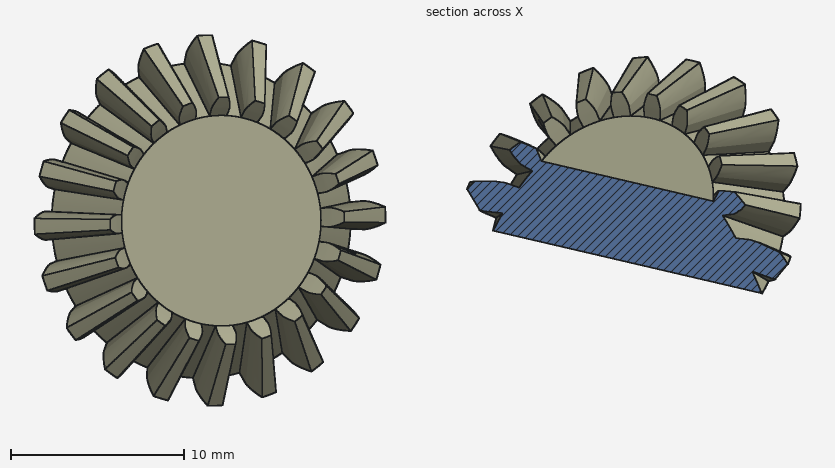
import math

import cadquery as cq

MODULE = 1.0
TOOTH_COUNT = 20
PITCH_CONE_ANGLE = math.radians(45)
PRESSURE_ANGLE = math.radians(14.5)
ADDENDUM = MODULE
DEDENDUM = 1.25 * MODULE
FACE_WIDTH_RATIO = 1 / 3
AXIS_TILT_DEG = 45

PITCH_RADIUS = MODULE * TOOTH_COUNT / 2
PITCH_DISTANCE = PITCH_RADIUS / math.tan(PITCH_CONE_ANGLE)
SMALL_END_SCALE = 1 - FACE_WIDTH_RATIO

SPUR_PITCH_RADIUS = PITCH_RADIUS / math.cos(PITCH_CONE_ANGLE)
SPUR_BASE_RADIUS = SPUR_PITCH_RADIUS * math.cos(PRESSURE_ANGLE)
SPUR_TIP_RADIUS = SPUR_PITCH_RADIUS + ADDENDUM
SPUR_ROOT_RADIUS = SPUR_PITCH_RADIUS - DEDENDUM

FLANK_START_CLEARANCE = 0.1
SPUR_FLANK_START_RADIUS = SPUR_BASE_RADIUS + FLANK_START_CLEARANCE
HALF_TOOTH_AT_PITCH = math.pi * MODULE / 4

WEDGE_MARGIN = 0.2
WEDGE_FOOT_RATIO = 0.5
FLANK_POINT_COUNT = 8


def back_cone_point(spur_radius):
    """Radius from the axis and distance from the apex of a point on the back cone."""
    radius = spur_radius * math.cos(PITCH_CONE_ANGLE)
    distance = PITCH_DISTANCE - (radius - PITCH_RADIUS) * math.tan(PITCH_CONE_ANGLE)
    return radius, distance


ROOT_RADIUS, BACK_DISTANCE = back_cone_point(SPUR_ROOT_RADIUS)
TIP_RADIUS, TIP_DISTANCE = back_cone_point(SPUR_TIP_RADIUS)
FRONT_DISTANCE = BACK_DISTANCE * SMALL_END_SCALE


def involute(angle):
    """Involute function: roll angle less pressure angle."""
    return math.tan(angle) - angle


def half_tooth_angle(spur_radius):
    """Polar angle about the gear axis from the tooth's centre line to its flank."""
    local_pressure_angle = math.acos(SPUR_BASE_RADIUS / spur_radius)
    spur_angle = (
        HALF_TOOTH_AT_PITCH / SPUR_PITCH_RADIUS
        + involute(PRESSURE_ANGLE)
        - involute(local_pressure_angle)
    )
    return spur_angle / math.cos(PITCH_CONE_ANGLE)


def revolve_profile(points):
    """Turn a half profile of (radius, distance from apex) points about the gear axis."""
    outline = [(radius, BACK_DISTANCE - distance) for radius, distance in points]
    return cq.Workplane("XZ").polyline(outline).close().revolve(360, (0, 0), (0, 1))


def make_core():
    """Root cone between the flat back and front faces."""
    return revolve_profile([
        (0, BACK_DISTANCE),
        (ROOT_RADIUS, BACK_DISTANCE),
        (ROOT_RADIUS * SMALL_END_SCALE, FRONT_DISTANCE),
        (0, FRONT_DISTANCE),
    ])


def make_blank():
    """Core plus the full tooth band out to the tip cone."""
    return revolve_profile([
        (0, BACK_DISTANCE),
        (ROOT_RADIUS, BACK_DISTANCE),
        (TIP_RADIUS, TIP_DISTANCE),
        (TIP_RADIUS * SMALL_END_SCALE, TIP_DISTANCE * SMALL_END_SCALE),
        (ROOT_RADIUS * SMALL_END_SCALE, FRONT_DISTANCE),
        (0, FRONT_DISTANCE),
    ])


def tooth_section(distance):
    """Tooth outline in the plane square to the axis at this distance from the apex."""
    outer_radius = SPUR_TIP_RADIUS + WEDGE_MARGIN
    step = (outer_radius - SPUR_FLANK_START_RADIUS) / (FLANK_POINT_COUNT - 1)

    def flank_point(spur_radius):
        cone_radius, cone_distance = back_cone_point(spur_radius)
        radius = cone_radius * distance / cone_distance
        angle = half_tooth_angle(spur_radius)
        return cq.Vector(
            radius * math.cos(angle),
            radius * math.sin(angle),
            BACK_DISTANCE - distance,
        )

    def mirrored(point):
        return cq.Vector(point.x, -point.y, point.z)

    spur_radii = [SPUR_FLANK_START_RADIUS + i * step for i in range(FLANK_POINT_COUNT)]
    flank = [flank_point(radius) for radius in spur_radii]
    other_flank = [mirrored(point) for point in reversed(flank)]

    foot = cq.Vector(flank[0].x * WEDGE_FOOT_RATIO, flank[0].y * WEDGE_FOOT_RATIO, flank[0].z)
    other_foot = mirrored(foot)
    return cq.Wire.assembleEdges([
        cq.Edge.makeLine(foot, flank[0]),
        cq.Edge.makeSpline(flank),
        cq.Edge.makeLine(flank[-1], other_flank[0]),
        cq.Edge.makeSpline(other_flank),
        cq.Edge.makeLine(other_flank[-1], other_foot),
        cq.Edge.makeLine(other_foot, foot),
    ])


def make_tooth():
    """One tooth on +X, tapering to the apex and trimmed to the blank."""
    large_section = tooth_section(BACK_DISTANCE + WEDGE_MARGIN)
    small_section = tooth_section(TIP_DISTANCE * SMALL_END_SCALE - WEDGE_MARGIN)
    wedge = cq.Solid.makeLoft([large_section, small_section], True)
    return cq.Workplane(wedge).intersect(make_blank())


def make_gear():
    tooth = make_tooth()
    gear = make_core()
    tooth_spacing_deg = 360 / TOOTH_COUNT
    for i in range(TOOTH_COUNT):
        gear = gear.union(tooth.rotate((0, 0, 0), (0, 0, 1), i * tooth_spacing_deg))
    return gear


result = make_gear().rotate((0, 0, 0), (0, 1, 0), AXIS_TILT_DEG)